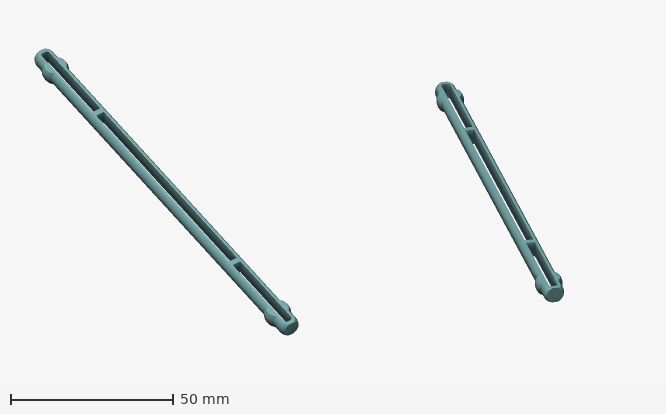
import cadquery as cq

length = 137.5
thickness = 5.0
rod_radius = 3.3

end_ball_inset = 2.0

bump_radius = 4.3
bump_offset = 61.0

slot_width = 2.8
slot_end_wall = 1.4
slot_corner_radius = 1.0

web_offset = 37.5
web_thickness = 1.9


def ball(radius, x):
    return cq.Workplane("XY").sphere(radius).translate((x, 0, 0))


def make_rod():
    """Round rod with ball ends and a larger ball near each end."""
    ball_x = length / 2 - end_ball_inset
    rod = cq.Workplane("YZ").circle(rod_radius).extrude(ball_x, both=True)
    for side in (-1, 1):
        rod = rod.union(ball(rod_radius, side * ball_x))
        rod = rod.union(ball(bump_radius, side * bump_offset))
    return rod


def make_envelope():
    """Block that trims the end faces and the two flats."""
    return cq.Workplane("XY").box(length, 2 * bump_radius, thickness)


def make_slot():
    """Long slot with rounded corners, interrupted by the webs."""
    slot_length = length - 2 * slot_end_wall
    slot = cq.Workplane("XY").box(slot_length, slot_width, thickness)
    slot = slot.edges("|Z").fillet(slot_corner_radius)
    for side in (-1, 1):
        web = cq.Workplane("XY").box(web_thickness, slot_width, thickness)
        slot = slot.cut(web.translate((side * web_offset, 0, 0)))
    return slot


result = make_rod().intersect(make_envelope()).cut(make_slot())